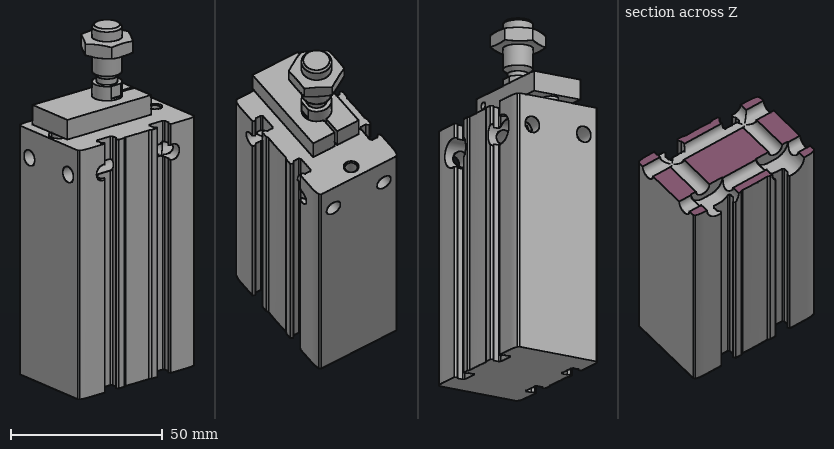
import cadquery as cq
import math


total_height = 122.0
housing_width = 32.0
housing_depth = 50.0
housing_height = 88.0

half_width = housing_width / 2
half_depth = housing_depth / 2
end_face_half_width = 14.9
corner_x = 15.5
corner_y = 24.5
side_flat_end_y = 21.5
center_panel_outer_y = 6.0
center_panel_step_y = 5.7
center_panel_inner_y = 5.0
center_panel_step = 0.15
center_panel_drop = 0.4
center_panel_bulge = 0.1

slot_offset_y = 11.2
slot_mouth = 5.9
slot_throat = 5.0
slot_inner_width = 6.7
slot_depth = 4.1
throat_depth = 0.9
slot_floor_chamfer = 0.5

mount_hole_diameter = 5.5
mount_hole_drop = 10.0
mount_hole_z = housing_height - mount_hole_drop
end_hole_offset_x = 10.0
side_hole_offset_y = 15.0
counterbore_width = 10.0
counterbore_shift = 3.0
counterbore_depth = 9.0

port_diameter = 4.1
port_mouth_diameter = 5.0
port_depth = 6.1
port_tip_angle = 118.0
guide_offset_y = 20.5

plate_gap = 2.0
plate_thickness = 7.0
plate_width = 18.0
plate_back_y = 11.5
plate_front_y = -24.5
plate_bottom_z = housing_height + plate_gap
plate_top_z = plate_bottom_z + plate_thickness
slit_width = 1.0
clamp_hole_diameter = 2.5
clamp_hole_y = 7.2

guide_rod_diameter = 5.0
guide_hole_diameter = 7.0
guide_hole_depth = 6.1

rod_diameter = 10.0
collar_height = 5.0
collar_top_z = plate_top_z + collar_height
flat_span = 9.2
flat_bottom_gap = 0.7
neck_diameter = 7.0
neck_height = 2.1
stud_bottom_chamfer = (rod_diameter - neck_diameter) / 2
stud_tip_diameter = 8.7
stud_tip_height = 0.9

nut_across_flats = 16.0
nut_thickness = 5.0
nut_bottom_z = 112.7
nut_face_diameter = 14.6
nut_chamfer_height = 0.5


def housing_outline():
    """Housing cross-section, closed, without the slots."""
    drop_x = half_width - center_panel_drop
    panel_x = drop_x + center_panel_bulge
    step_x = half_width - center_panel_step
    run = corner_y - side_flat_end_y
    fall = half_width - corner_x
    radius = (run**2 + fall**2) / (2 * fall)
    half_angle = math.atan2(fall, run)
    arc_x = half_width - radius * (1 - math.cos(half_angle))
    arc_y = side_flat_end_y + radius * math.sin(half_angle)
    return (
        cq.Workplane("XY")
        .moveTo(end_face_half_width, -half_depth)
        .lineTo(corner_x, -corner_y)
        .threePointArc((arc_x, -arc_y), (half_width, -side_flat_end_y))
        .lineTo(half_width, -center_panel_outer_y)
        .lineTo(step_x, -center_panel_step_y)
        .lineTo(drop_x, -center_panel_inner_y)
        .threePointArc((panel_x, 0), (drop_x, center_panel_inner_y))
        .lineTo(step_x, center_panel_step_y)
        .lineTo(half_width, center_panel_outer_y)
        .lineTo(half_width, side_flat_end_y)
        .threePointArc((arc_x, arc_y), (corner_x, corner_y))
        .lineTo(end_face_half_width, half_depth)
        .lineTo(-end_face_half_width, half_depth)
        .lineTo(-corner_x, corner_y)
        .threePointArc((-arc_x, arc_y), (-half_width, side_flat_end_y))
        .lineTo(-half_width, center_panel_outer_y)
        .lineTo(-step_x, center_panel_step_y)
        .lineTo(-drop_x, center_panel_inner_y)
        .threePointArc((-panel_x, 0), (-drop_x, -center_panel_inner_y))
        .lineTo(-step_x, -center_panel_step_y)
        .lineTo(-half_width, -center_panel_outer_y)
        .lineTo(-half_width, -side_flat_end_y)
        .threePointArc((-arc_x, -arc_y), (-corner_x, -corner_y))
        .lineTo(-end_face_half_width, -half_depth)
        .close()
    )


def sensor_slot(side, center_y):
    """Cutter for one full-height slot with lips that taper to a narrow throat; side is +1 or -1 along X."""
    throat_x = half_width - throat_depth
    shoulder_x = throat_x - (slot_inner_width - slot_throat) / 2
    floor_x = half_width - slot_depth
    half_profile = [
        (half_width, slot_mouth / 2),
        (throat_x, slot_throat / 2),
        (shoulder_x, slot_inner_width / 2),
        (floor_x + slot_floor_chamfer, slot_inner_width / 2),
        (floor_x, slot_inner_width / 2 - slot_floor_chamfer),
    ]
    mirrored = [(x, -y) for x, y in reversed(half_profile)]
    points = [(side * x, center_y + y) for x, y in half_profile + mirrored]
    return cq.Workplane("XY").polyline(points).close().extrude(housing_height)


def end_hole(x):
    """Cutter for one mounting hole running through along Y."""
    return (
        cq.Workplane("XZ", origin=(x, 0, mount_hole_z))
        .circle(mount_hole_diameter / 2)
        .extrude(half_depth, both=True)
    )


def side_hole(direction):
    """Cutter for one hole through along X, with an oblong counterbore on the -X side.

    The counterbore reaches from the hole toward the middle; direction is the sign of Y.
    """
    y = direction * side_hole_offset_y
    hole = (
        cq.Workplane("YZ", origin=(0, y, mount_hole_z))
        .circle(mount_hole_diameter / 2)
        .extrude(half_width, both=True)
    )
    counterbore_y = y - direction * counterbore_shift / 2
    counterbore = (
        cq.Workplane("YZ", origin=(-half_width, counterbore_y, mount_hole_z))
        .slot2D(counterbore_width + counterbore_shift, counterbore_width)
        .extrude(counterbore_depth)
    )
    return hole.union(counterbore)


def port():
    """Cutter for the blind port: countersunk mouth, straight bore and conical drill tip."""
    radius = port_diameter / 2
    mouth_radius = port_mouth_diameter / 2
    mouth_drop = mouth_radius - radius
    tip_height = radius / math.tan(math.radians(port_tip_angle / 2))
    return (
        cq.Workplane("XZ", origin=(0, guide_offset_y, housing_height))
        .polyline([
            (0, 0),
            (mouth_radius, 0),
            (radius, -mouth_drop),
            (radius, -port_depth),
            (0, -port_depth - tip_height),
        ])
        .close()
        .revolve(360, (0, 0), (0, 1))
    )


def guide_hole():
    """Cutter for the blind clearance hole around the guide rod."""
    return (
        cq.Workplane("XY", origin=(0, -guide_offset_y, housing_height))
        .circle(guide_hole_diameter / 2)
        .extrude(-guide_hole_depth)
    )


def make_housing():
    body = housing_outline().extrude(housing_height)
    for side in (-1, 1):
        for slot_y in (-slot_offset_y, slot_offset_y):
            body = body.cut(sensor_slot(side, slot_y))
    for direction in (-1, 1):
        body = body.cut(end_hole(direction * end_hole_offset_x))
        body = body.cut(side_hole(direction))
    return body.cut(port()).cut(guide_hole())


def make_plate():
    """Plate with a rod hole, a clamping slit behind it and a blind screw hole into the slit."""
    plate = (
        cq.Workplane("XY", origin=(0, (plate_back_y + plate_front_y) / 2, plate_bottom_z))
        .rect(plate_width, plate_back_y - plate_front_y)
        .extrude(plate_thickness)
    )
    rod_hole = (
        cq.Workplane("XY", origin=(0, 0, plate_bottom_z))
        .circle(rod_diameter / 2)
        .extrude(plate_thickness)
    )
    slit = (
        cq.Workplane("XY", origin=(0, plate_back_y / 2, plate_bottom_z))
        .rect(slit_width, plate_back_y)
        .extrude(plate_thickness)
    )
    clamp_hole = (
        cq.Workplane("YZ", origin=(-plate_width / 2, clamp_hole_y, plate_bottom_z + plate_thickness / 2))
        .circle(clamp_hole_diameter / 2)
        .extrude(plate_width / 2)
    )
    return plate.cut(rod_hole).cut(slit).cut(clamp_hole)


def make_guide_rod():
    """Plain pin from the floor of its housing hole up to the underside of the plate."""
    return (
        cq.Workplane("XY", origin=(0, -guide_offset_y, plate_bottom_z))
        .circle(guide_rod_diameter / 2)
        .extrude(-plate_gap - guide_hole_depth)
    )


def make_piston_rod():
    """Rod from the housing top to the tip, with a neck and two wrench flats on its collar."""
    radius = rod_diameter / 2
    neck_radius = neck_diameter / 2
    neck_top_z = collar_top_z + neck_height
    rod = (
        cq.Workplane("XZ")
        .polyline([
            (0, housing_height),
            (radius, housing_height),
            (radius, collar_top_z),
            (neck_radius, collar_top_z),
            (neck_radius, neck_top_z),
            (radius, neck_top_z + stud_bottom_chamfer),
            (radius, total_height - stud_tip_height),
            (stud_tip_diameter / 2, total_height),
            (0, total_height),
        ])
        .close()
        .revolve(360, (0, 0), (0, 1))
    )
    flat_bottom_z = plate_top_z + flat_bottom_gap
    flat_cuts = (
        cq.Workplane("XY", origin=(0, 0, flat_bottom_z))
        .rect(2 * rod_diameter, 2 * rod_diameter)
        .rect(flat_span, 2 * rod_diameter)
        .extrude(collar_top_z - flat_bottom_z)
    )
    return rod.cut(flat_cuts)


def make_nut():
    """Hexagon nut with corners along Y, chamfered on both faces."""
    across_corners = nut_across_flats / math.cos(math.radians(30))
    chamfer_width = (across_corners - nut_face_diameter) / 2
    hexagon = (
        cq.Workplane("XY", origin=(0, 0, nut_bottom_z))
        .transformed(rotate=(0, 0, 90))
        .polygon(6, across_corners)
        .extrude(nut_thickness)
    )
    chamfered_disc = (
        cq.Workplane("XY", origin=(0, 0, nut_bottom_z))
        .circle(across_corners / 2)
        .extrude(nut_thickness)
        .faces("<Z or >Z")
        .chamfer(nut_chamfer_height, chamfer_width)
    )
    bore = (
        cq.Workplane("XY", origin=(0, 0, nut_bottom_z))
        .circle(rod_diameter / 2)
        .extrude(nut_thickness)
    )
    return hexagon.intersect(chamfered_disc).cut(bore)


housing = make_housing()
plate = make_plate()
guide_rod = make_guide_rod()
piston_rod = make_piston_rod()
nut = make_nut()

result = cq.Compound.makeCompound([
    housing.val(),
    plate.val(),
    guide_rod.val(),
    piston_rod.val(),
    nut.val(),
])